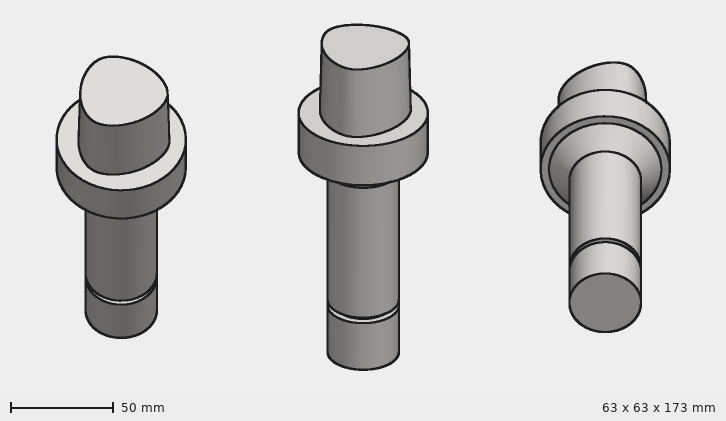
import cadquery as cq
import math

TOTAL_LENGTH = 173.0
HEAD_LENGTH = 26.5
NECK_LENGTH = 3.1
TAPER_LENGTH = 37.7
FLANGE_THICKNESS = 22.3
CONE_HEIGHT = 9.9

SHANK_DIAMETER = 35.0
NECK_DIAMETER = 27.0
FLANGE_DIAMETER = 63.0
CONE_TOP_DIAMETER = SHANK_DIAMETER + 2 * CONE_HEIGHT

TAPER_BASE_RADIUS = 22.1
TAPER_TOP_RADIUS = 21.3
LOBE_HEIGHT = 1.4
LOBE_COUNT = 3
POINTS_PER_LOBE = 12

neck_top = HEAD_LENGTH + NECK_LENGTH
flange_top = TOTAL_LENGTH - TAPER_LENGTH
flange_bottom = flange_top - FLANGE_THICKNESS
cone_bottom = flange_bottom - CONE_HEIGHT


def lobed_point(angle, mean_radius):
    """Point on a constant-width curve whose tangent distance is mean radius + lobe * cos(3 * angle).

    Angle zero is the tip of the lobe that points toward -Y.
    """
    distance = mean_radius + LOBE_HEIGHT * math.cos(LOBE_COUNT * angle)
    slope = -LOBE_COUNT * LOBE_HEIGHT * math.sin(LOBE_COUNT * angle)
    outward = distance * math.cos(angle) - slope * math.sin(angle)
    sideways = distance * math.sin(angle) + slope * math.cos(angle)
    return cq.Vector(sideways, -outward, 0)


def lobed_wire(mean_radius, height):
    """Closed smooth three-lobed outline at the given height."""
    count = LOBE_COUNT * POINTS_PER_LOBE
    points = [lobed_point(2 * math.pi * i / count, mean_radius) for i in range(count)]
    edge = cq.Edge.makeSpline(points, periodic=True)
    return cq.Wire.assembleEdges([edge]).translate(cq.Vector(0, 0, height))


def make_taper():
    """Polygonal coupling that narrows from the flange to the top."""
    base = lobed_wire(TAPER_BASE_RADIUS, flange_top)
    top = lobed_wire(TAPER_TOP_RADIUS, TOTAL_LENGTH)
    return cq.Solid.makeLoft([base, top], True)


def make_holder():
    """Neck, shank, cone and flange turned as one profile, with the taper on top."""
    profile = [
        (0, HEAD_LENGTH),
        (NECK_DIAMETER / 2, HEAD_LENGTH),
        (NECK_DIAMETER / 2, neck_top),
        (SHANK_DIAMETER / 2, neck_top),
        (SHANK_DIAMETER / 2, cone_bottom),
        (CONE_TOP_DIAMETER / 2, flange_bottom),
        (FLANGE_DIAMETER / 2, flange_bottom),
        (FLANGE_DIAMETER / 2, flange_top),
        (0, flange_top),
    ]
    turned = cq.Workplane("XZ").polyline(profile).close().revolve(360, (0, 0), (0, 1))
    return turned.union(cq.Workplane(make_taper()))


def make_head():
    """Plain cylindrical head seated against the end of the neck."""
    return cq.Workplane("XY").circle(SHANK_DIAMETER / 2).extrude(HEAD_LENGTH)


holder = make_holder()
head = make_head()

result = cq.Compound.makeCompound([holder.solids().val(), head.val()])